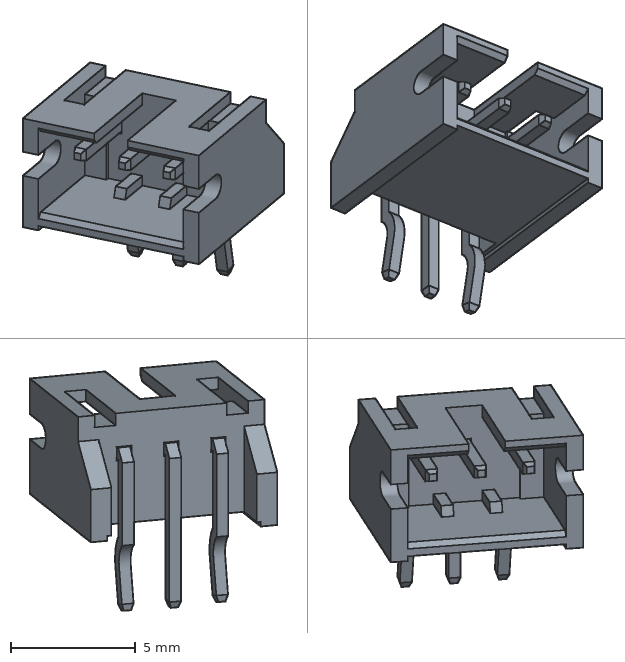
import cadquery as cq
import math


width = 7.9
depth = 7.6
height = 4.8
block_depth = 6.0
wing_width = 0.87
wing_rear_height = 2.2
wing_slope_top = 3.77
foot_height = 0.2

cavity_width = 6.5
floor_z = 0.73
ceiling_z = 4.3
cavity_depth = 4.3
shoulder_y = 4.14
shoulder_gap = 4.58
mouth_bevel = 0.21

key_slot_width = 1.5
window_width = 0.9
window_front_y = 2.3
side_notch_height = 1.05
side_notch_z = 2.8
side_notch_depth = 2.0

rib_width = 0.5
rib_height = 0.43
rib_spacing = 2.0
rib_front_y = 2.76
rib_front_lean = 0.15

pin_pitch = 2.0
pin_size = 0.5
pin_z = 3.11
pin_tip_y = 1.0
pin_tip_z = -3.4
tip_length = 0.28
tip_end_size = 0.3
hole_width = 0.63
hole_height = 0.58

leg_front_y = block_depth
leg_rear_y = leg_front_y + pin_size
kink_radius = 1.45
kink_centre_y = 7.05
kink_centre_z = -1.36
kink_lean = math.radians(13)


def box(x_range, y_range, z_range):
    """Axis-aligned block given by its limits along each axis."""
    (x0, x1), (y0, y1), (z0, z1) = x_range, y_range, z_range
    return cq.Workplane("XY").box(x1 - x0, y1 - y0, z1 - z0, centered=False).translate((x0, y0, z0))


def centred(span):
    return (-span / 2, span / 2)


def extrude_along_x(points, x_range):
    """Prism along X from an outline of (y, z) points."""
    x0, x1 = x_range
    return cq.Workplane("YZ").polyline(points).close().extrude(x1 - x0).translate((x0, 0, 0))


def make_shell():
    """Main block with the two sloped wings behind it."""
    shell = box(centred(width), (0, block_depth), (0, height))
    wing_outline = [
        (block_depth, 0),
        (depth, 0),
        (depth, wing_rear_height),
        (block_depth, wing_slope_top),
    ]
    for x_start in (-width / 2, width / 2 - wing_width):
        shell = shell.union(extrude_along_x(wing_outline, (x_start, x_start + wing_width)))
    return shell.cut(box(centred(cavity_width), (0, depth), (0, foot_height)))


def make_cavity():
    """Plug space: bevelled mouth, full-width front and a narrower end between the shoulders."""
    outline = [
        (0, floor_z - mouth_bevel),
        (mouth_bevel, floor_z),
        (shoulder_y, floor_z),
        (shoulder_y, ceiling_z),
        (mouth_bevel, ceiling_z),
        (0, ceiling_z + mouth_bevel),
    ]
    front = extrude_along_x(outline, centred(cavity_width))
    return front.union(box(centred(shoulder_gap), (mouth_bevel, cavity_depth), (floor_z, ceiling_z)))


def make_side_notch():
    """Round-ended notch through both side walls, open at the front."""
    radius = side_notch_height / 2
    round_centre_y = side_notch_depth - radius
    notch = box(
        centred(width),
        (0, round_centre_y),
        (side_notch_z - radius, side_notch_z + radius),
    )
    round_end = (
        cq.Workplane("YZ")
        .center(round_centre_y, side_notch_z)
        .circle(radius)
        .extrude(width / 2, both=True)
    )
    return notch.union(round_end)


def make_rib(x_centre):
    """Guide rib running from the pin wall to a leaning front face."""
    rib_top = floor_z + rib_height
    outline = [
        (rib_front_y, floor_z),
        (cavity_depth, floor_z),
        (cavity_depth, rib_top),
        (rib_front_y + rib_front_lean, rib_top),
    ]
    return extrude_along_x(outline, (x_centre - rib_width / 2, x_centre + rib_width / 2))


def make_housing(pin_places):
    housing = make_shell().cut(make_cavity()).cut(make_side_notch())

    housing = housing.cut(box(centred(key_slot_width), (0, cavity_depth), (ceiling_z, height)))

    for x_start in (-cavity_width / 2, cavity_width / 2 - window_width):
        x_range = (x_start, x_start + window_width)
        housing = housing.cut(box(x_range, (window_front_y, block_depth), (ceiling_z, height)))

    for x_centre in (-rib_spacing / 2, rib_spacing / 2):
        housing = housing.union(make_rib(x_centre))

    for x_centre in pin_places:
        hole = box(
            (x_centre - hole_width / 2, x_centre + hole_width / 2),
            (cavity_depth, block_depth),
            (pin_z - hole_height / 2, pin_z + hole_height / 2),
        )
        housing = housing.cut(hole)
    return housing


def make_tip(y, z, direction_y, direction_z):
    """Tapered pin tip on a square end centred at (0, y, z), pointing along the given direction."""
    base = cq.Plane(origin=(0, y, z), xDir=(1, 0, 0), normal=(0, direction_y, direction_z))
    return (
        cq.Workplane(base)
        .rect(pin_size, pin_size)
        .workplane(offset=tip_length)
        .rect(tip_end_size, tip_end_size)
        .loft(ruled=True)
    )


def make_arm():
    """Horizontal contact arm with its tip; the outer corner of the bend is cut off at 45 degrees."""
    arm_start_y = pin_tip_y + tip_length
    arm_bottom = pin_z - pin_size / 2
    arm_top = pin_z + pin_size / 2
    outline = [
        (arm_start_y, arm_bottom),
        (leg_rear_y, arm_bottom),
        (leg_front_y, arm_top),
        (arm_start_y, arm_top),
    ]
    arm = extrude_along_x(outline, centred(pin_size))
    return arm.union(make_tip(arm_start_y, pin_z, -1, 0))


def make_straight_pin():
    leg_end_z = pin_tip_z + tip_length
    leg = box(centred(pin_size), (leg_front_y, leg_rear_y), (leg_end_z, pin_z - pin_size / 2))
    tip = make_tip((leg_front_y + leg_rear_y) / 2, leg_end_z, 0, -1)
    return make_arm().union(leg).union(tip)


def kink_point(radius, angle):
    """Point on a kink arc; the angle rises from the forward horizontal."""
    return (kink_centre_y - radius * math.cos(angle), kink_centre_z + radius * math.sin(angle))


def make_kinked_pin():
    """Pin whose leg bulges forward round an arc, then runs straight back down at a lean."""
    rear_radius = kink_radius - pin_size
    front_start = math.acos((kink_centre_y - leg_front_y) / kink_radius)
    rear_start = math.acos((kink_centre_y - leg_rear_y) / rear_radius)

    run_y = math.sin(kink_lean)
    run_z = -math.cos(kink_lean)
    middle_y, middle_z = kink_point(kink_radius - pin_size / 2, -kink_lean)
    tip_drop = tip_length * math.cos(kink_lean) + tip_end_size / 2 * math.sin(kink_lean)
    run_length = (middle_z - pin_tip_z - tip_drop) / math.cos(kink_lean)

    front_y, front_z = kink_point(kink_radius, -kink_lean)
    rear_y, rear_z = kink_point(rear_radius, -kink_lean)
    leg = (
        cq.Workplane("YZ")
        .moveTo(leg_rear_y, pin_z - pin_size / 2)
        .lineTo(leg_front_y, pin_z - pin_size / 2)
        .lineTo(*kink_point(kink_radius, front_start))
        .threePointArc(kink_point(kink_radius, 0), (front_y, front_z))
        .lineTo(front_y + run_length * run_y, front_z + run_length * run_z)
        .lineTo(rear_y + run_length * run_y, rear_z + run_length * run_z)
        .lineTo(rear_y, rear_z)
        .threePointArc(kink_point(rear_radius, 0), kink_point(rear_radius, rear_start))
        .close()
        .extrude(pin_size / 2, both=True)
    )
    tip = make_tip(middle_y + run_length * run_y, middle_z + run_length * run_z, run_y, run_z)
    return make_arm().union(leg).union(tip)


outer_pin_places = (-pin_pitch, pin_pitch)
housing = make_housing((-pin_pitch, 0, pin_pitch))
straight_pin = make_straight_pin()
kinked_pins = [make_kinked_pin().translate((x, 0, 0)) for x in outer_pin_places]

result = cq.Compound.makeCompound(
    [housing.val(), straight_pin.val(), *[pin.val() for pin in kinked_pins]]
)